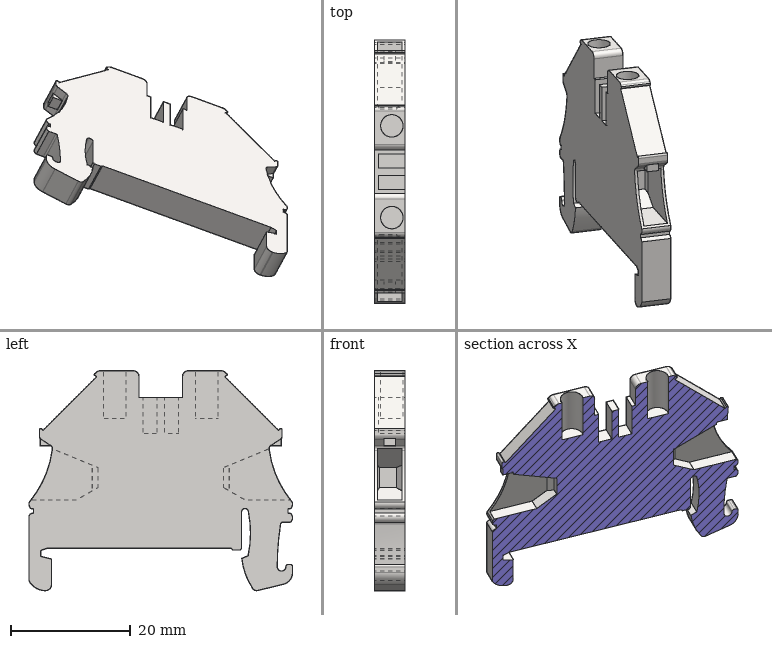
import cadquery as cq
import math


thickness = 5.1
half_length = 22.0
height = 36.7

notch_half_width = 3.62
notch_floor_z = 32.25
tower_round = 0.95
tower_flat_end = 10.1
brow_tip = (11.0, 36.2)
brow_nose = (11.1, 36.0)
brow_under = (11.0, 35.9)
roof_start = (10.7, 35.7)

roof_end = (19.65, 26.75)
lip_top_z = 27.05
lip_inner = 19.85
lip_outer = 20.25
lip_top_round = 0.27
lip_bottom_z = 25.8
lip_bottom_round = 0.65
lip_under_angle = 32.0
throat_start = (18.4, 24.25)
throat = (18.12, 23.85)

flank_start = (18.13, 23.4)
flank_mid = (19.5, 18.65)
flank_end = (21.93, 14.8)

groove_floor = 21.25
groove_top_z = 13.65
groove_bottom_z = 12.95
ridge_edge = 21.57
upper_ridge_z = 14.45
lower_ridge_z = 12.15
heel_z = 11.4

base_z = 7.05
bead_z = 6.77
bead_bevel = 0.28
bead_start = 12.05

leg_outer = 19.45
leg_root = 20.0
leg_root_z = 11.1
leg_root_round = 0.3
hook_z = 4.0
hook_gap_radius = 0.7
hook_round = 0.4
hook_side_low_z = 3.05
sole_angle = 13.75
sole_round = 2.05
toe_round = 0.81
toe_bottom = 16.0
toe_inner = (15.25, 0.5)
shin_mid = (14.1, 2.8)

slot_inner = 13.5
slot_arch_radius = 0.55
slot_arch_z = 13.15
slot_bulge = (14.95, 9.5)
barb = (slot_inner, 5.4)
barb_root = (14.55, 5.85)

recess_start = 19.0
recess_depth = 20.0
recess_top_z = 6.7
recess_bottom_z = 5.75
fixed_foot_inner = 18.2
fixed_foot_top_z = 5.3
fixed_foot_round = 1.05
fixed_foot_bottom = 19.35
fixed_foot_flank = (21.2, 0.7)
fixed_foot_side_z = 1.7
shoulder_z = 12.5
shoulder_mid = (21.8, 12.75)

funnel_half_width = 2.05
funnel_floor_z = 15.15
funnel_top_z = 23.7
funnel_end = 10.5
funnel_end_low_z = 17.2
funnel_end_high_z = 20.55
funnel_end_left = -1.75
funnel_end_right = 1.1
floor_angle = 30.0
left_angle = 19.0
right_angle = 45.0

screw_radius = 1.87
screw_distance = 7.65
screw_x = 0.35
screw_depth = 8.0
bridge_inner = 0.64
bridge_outer = 2.95
bridge_wall = 0.65
bridge_depth = 6.0
tab_width = 2.0
tab_inner = 18.4
tab_outer = 20.1
tab_top_z = 25.7
tab_bottom_z = 24.15


def profile():
    """Sketch plane whose local x runs towards -Y and whose local y runs up."""
    plane = cq.Plane(origin=(thickness / 2, 0, 0), xDir=(0, -1, 0), normal=(-1, 0, 0))
    return cq.Workplane(plane)


def on_both_ends(shape):
    return shape.union(shape.mirror("XZ"))


def on_circle(center, radius, degrees):
    angle = math.radians(degrees)
    return (center[0] + radius * math.cos(angle), center[1] + radius * math.sin(angle))


def upper_body():
    """Half of the symmetric upper outline, mirrored about the mid-plane."""
    notch_center = (notch_half_width + tower_round, height - tower_round)
    brow_center = (tower_flat_end, height - tower_round)
    lip_top_center = (lip_outer - lip_top_round, lip_top_z - lip_top_round)
    lip_low_center = (lip_outer - lip_bottom_round, lip_bottom_z)
    lip_sweep = lip_under_angle - 90
    half = (
        profile()
        .moveTo(0, groove_bottom_z)
        .lineTo(0, notch_floor_z)
        .lineTo(notch_half_width, notch_floor_z)
        .lineTo(notch_half_width, height - tower_round)
        .threePointArc(on_circle(notch_center, tower_round, 135), on_circle(notch_center, tower_round, 90))
        .lineTo(tower_flat_end, height)
        .threePointArc(on_circle(brow_center, tower_round, 67.5), on_circle(brow_center, tower_round, 45))
        .lineTo(*brow_tip)
        .threePointArc(brow_nose, brow_under)
        .lineTo(*roof_start)
        .lineTo(*roof_end)
        .lineTo(lip_inner, lip_top_z)
        .lineTo(lip_outer - lip_top_round, lip_top_z)
        .threePointArc(
            on_circle(lip_top_center, lip_top_round, 45),
            on_circle(lip_top_center, lip_top_round, 0),
        )
        .lineTo(lip_outer, lip_bottom_z)
        .threePointArc(
            on_circle(lip_low_center, lip_bottom_round, lip_sweep / 2),
            on_circle(lip_low_center, lip_bottom_round, lip_sweep),
        )
        .lineTo(*throat_start)
        .threePointArc(throat, flank_start)
        .threePointArc(flank_mid, flank_end)
        .threePointArc((half_length, upper_ridge_z), (ridge_edge, groove_top_z))
        .lineTo(groove_floor, groove_top_z)
        .lineTo(groove_floor, groove_bottom_z)
        .close()
        .extrude(thickness)
    )
    return on_both_ends(half)


def lower_body():
    """Base with the spring foot towards -Y and the fixed foot towards +Y."""
    leg_bow = (leg_root - leg_outer) / 4
    root_center = (leg_root + leg_root_round, heel_z - leg_root_round)
    gap_center = (leg_outer + hook_gap_radius, hook_z)
    gap_edge = leg_outer + 2 * hook_gap_radius
    inner_hook_center = (gap_edge + hook_round, hook_z)
    outer_hook_center = (half_length - hook_round, hook_z)
    sole_center = (half_length - sole_round, hook_side_low_z)
    sole_sweep = sole_angle - 90
    toe_center = (toe_bottom, toe_round)
    fixed_center = (-fixed_foot_inner - fixed_foot_round, fixed_foot_round)
    return (
        profile()
        .moveTo(-groove_floor, groove_bottom_z)
        .lineTo(groove_floor, groove_bottom_z)
        .lineTo(ridge_edge, groove_bottom_z)
        .threePointArc((half_length, lower_ridge_z), (ridge_edge, heel_z))
        .lineTo(leg_root + leg_root_round, heel_z)
        .threePointArc(on_circle(root_center, leg_root_round, 135), (leg_root, leg_root_z))
        .threePointArc(
            (leg_outer + leg_bow, (leg_root_z + hook_z) / 2),
            (leg_outer, hook_z),
        )
        .threePointArc(on_circle(gap_center, hook_gap_radius, 270), (gap_edge, hook_z))
        .threePointArc(
            on_circle(inner_hook_center, hook_round, 135),
            on_circle(inner_hook_center, hook_round, 90),
        )
        .lineTo(half_length - hook_round, hook_z + hook_round)
        .threePointArc(on_circle(outer_hook_center, hook_round, 45), (half_length, hook_z))
        .lineTo(half_length, hook_side_low_z)
        .threePointArc(
            on_circle(sole_center, sole_round, sole_sweep / 2),
            on_circle(sole_center, sole_round, sole_sweep),
        )
        .lineTo(*on_circle(toe_center, toe_round, sole_sweep))
        .threePointArc((toe_bottom, 0), toe_inner)
        .threePointArc(shin_mid, barb)
        .lineTo(slot_inner, base_z)
        .lineTo(slot_inner - bead_bevel, bead_z)
        .lineTo(bead_start, bead_z)
        .lineTo(bead_start - bead_bevel, base_z)
        .lineTo(-recess_start, base_z)
        .lineTo(-recess_depth, recess_top_z)
        .lineTo(-recess_depth, recess_bottom_z)
        .lineTo(-fixed_foot_inner, fixed_foot_top_z)
        .lineTo(-fixed_foot_inner, fixed_foot_round)
        .threePointArc(
            on_circle(fixed_center, fixed_foot_round, 315),
            on_circle(fixed_center, fixed_foot_round, 270),
        )
        .lineTo(-fixed_foot_bottom, 0)
        .threePointArc((-fixed_foot_flank[0], fixed_foot_flank[1]), (-half_length, fixed_foot_side_z))
        .lineTo(-half_length, shoulder_z)
        .threePointArc((-shoulder_mid[0], shoulder_mid[1]), (-groove_floor, groove_bottom_z))
        .close()
        .extrude(thickness)
    )


def spring_slot():
    """Slot that frees the spring foot from the base."""
    arch_center = (slot_inner + slot_arch_radius, slot_arch_z)
    return (
        profile()
        .moveTo(*barb)
        .lineTo(slot_inner, slot_arch_z)
        .threePointArc(
            on_circle(arch_center, slot_arch_radius, 90),
            on_circle(arch_center, slot_arch_radius, 0),
        )
        .threePointArc(slot_bulge, barb_root)
        .close()
        .extrude(thickness)
    )


def slope(angle):
    return math.tan(math.radians(angle))


def wire_funnel():
    """Flat-floored mouth whose inner end narrows to a small rectangle."""
    floor_run = (funnel_end_low_z - funnel_floor_z) / slope(floor_angle)
    side_view = (
        profile()
        .moveTo(funnel_end, funnel_end_low_z)
        .lineTo(funnel_end + floor_run, funnel_floor_z)
        .lineTo(half_length, funnel_floor_z)
        .lineTo(half_length, funnel_top_z)
        .lineTo(throat[0], funnel_top_z)
        .lineTo(funnel_end, funnel_end_high_z)
        .close()
        .extrude(thickness)
    )
    left_run = (funnel_end_left + funnel_half_width) / slope(left_angle)
    right_run = (funnel_half_width - funnel_end_right) / slope(right_angle)
    plan_view = (
        cq.Workplane("XY")
        .polyline([
            (funnel_end_left, -funnel_end),
            (-funnel_half_width, -funnel_end - left_run),
            (-funnel_half_width, -half_length),
            (funnel_half_width, -half_length),
            (funnel_half_width, -funnel_end - right_run),
            (funnel_end_right, -funnel_end),
        ])
        .close()
        .extrude(height)
    )
    return side_view.intersect(plan_view)


def tab():
    """Small block hanging under the lip above the wire funnel."""
    return cq.Workplane("XY").box(
        tab_width, tab_outer - tab_inner, tab_top_z - tab_bottom_z, centered=(True, False, False)
    ).translate((0, -tab_outer, tab_bottom_z))


def screw_hole():
    return (
        cq.Workplane("XY", origin=(screw_x, -screw_distance, height - screw_depth))
        .circle(screw_radius)
        .extrude(screw_depth)
    )


def bridge_slot():
    """Slot in the notch floor, open towards +X."""
    return cq.Workplane("XY").box(
        thickness - bridge_wall, bridge_outer - bridge_inner, bridge_depth, centered=False
    ).translate((bridge_wall - thickness / 2, -bridge_outer, notch_floor_z - bridge_depth))


result = upper_body().union(lower_body()).cut(spring_slot())
result = result.union(on_both_ends(tab()))
for cutter in (wire_funnel(), screw_hole(), bridge_slot()):
    result = result.cut(cutter).cut(cutter.mirror("XZ"))